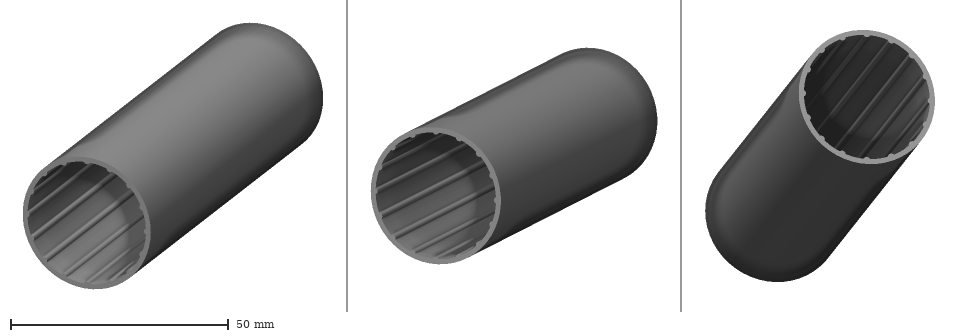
import cadquery as cq

outer_diameter = 32.0
length = 100.0
wall_thickness = 1.2

rib_count = 16
rib_radius = 0.8
rib_height = 0.5
root_fillet_radius = 0.2

outer_radius = outer_diameter / 2
bore_radius = outer_radius - wall_thickness
rib_center_radius = bore_radius - rib_height + rib_radius


def end_plane():
    """Workplane on the +Y end of the tube, facing -Y along its length."""
    return cq.Workplane("XZ", origin=(0, length / 2, 0))


def make_cylinder(radius):
    """Full-length cylinder about the Y axis, centred on the origin."""
    return end_plane().circle(radius).extrude(length)


def make_rib_bars():
    """Full-length round bars, evenly spaced, that overlap the edge of the bore."""
    centers = end_plane().polarArray(rib_center_radius, 0, 360, rib_count)
    return centers.circle(rib_radius).extrude(length)


def make_ribbed_bore():
    """Open space inside the tube: the bore less the bars, its rib roots rounded."""
    bore = make_cylinder(bore_radius).cut(make_rib_bars())
    rib_roots = bore.edges("|Y")
    return rib_roots.fillet(root_fillet_radius)


result = make_cylinder(outer_radius).cut(make_ribbed_bore())